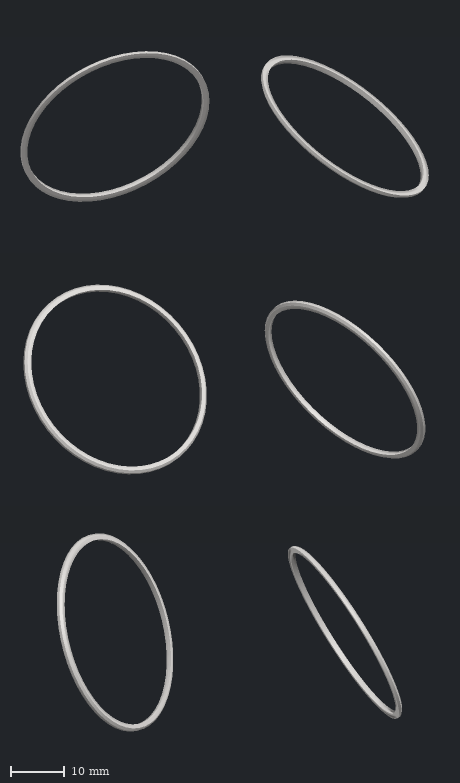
import cadquery as cq

outer_diameter = 38.0
inner_diameter = 35.6
width = 1.0
chamfer = 0.4

outer_radius = outer_diameter / 2
inner_radius = inner_diameter / 2
back_x = width / 2
front_x = -width / 2

profile = (
    cq.Workplane("XY")
    .moveTo(front_x, inner_radius)
    .lineTo(back_x, inner_radius)
    .lineTo(back_x, outer_radius)
    .lineTo(front_x + chamfer, outer_radius)
    .lineTo(front_x, outer_radius - chamfer)
    .close()
)

result = profile.revolve(360, (0, 0, 0), (1, 0, 0))